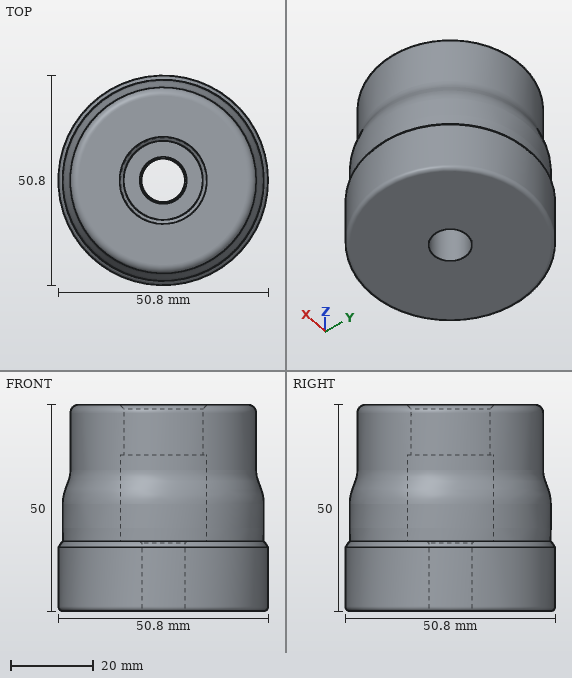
import cadquery as cq
import math

total_height = 50.0

base_radius = 25.4
base_height = 16.95
base_bottom_fillet = 1.1
bevel_start_height = 15.45
bevel_radius = 24.8
bevel_height = 16.4
hole_radius = 5.25
hole_chamfer = 0.45

cap_radius = 24.4
cap_foot_radius = 24.3
taper_top_height = 20.05
shoulder_start_height = 25.9
neck_radius = 22.5
shoulder_angle = math.radians(20)
shoulder_round = 10.15
neck_round = 7.6
top_fillet = 2.05

entry_radius = 9.6
entry_chamfer = 0.95
entry_depth = 3.6
land_radius = 9.55
land_depth = 12.1
relief_radius = 10.35


def revolve_about_z(profile):
    """Close a radius-height profile and turn it into a ring about Z."""
    return profile.close().revolve(360, (0, 0, 0), (0, 1, 0))


def make_base():
    profile = (
        cq.Workplane("XZ")
        .moveTo(hole_radius, 0)
        .lineTo(base_radius, 0)
        .lineTo(base_radius, bevel_start_height)
        .lineTo(bevel_radius, bevel_height)
        .lineTo(cap_foot_radius, base_height)
        .lineTo(hole_radius + hole_chamfer, base_height)
        .lineTo(hole_radius, base_height - hole_chamfer)
    )
    ring = revolve_about_z(profile)
    bottom_rim = cq.selectors.RadiusNthSelector(-1)
    return ring.faces("<Z").edges(bottom_rim).fillet(base_bottom_fillet)


def round_point(center, radius, angle):
    """Radius-height point on a round, at an angle above the outward direction."""
    return (
        center[0] + radius * math.cos(angle),
        center[1] + radius * math.sin(angle),
    )


def make_cap():
    lower_center = (cap_radius - shoulder_round, shoulder_start_height)
    cone_start = round_point(lower_center, shoulder_round, shoulder_angle)
    cone_end_radius = neck_radius + neck_round * (1 - math.cos(shoulder_angle))
    cone_rise = (cone_start[0] - cone_end_radius) / math.tan(shoulder_angle)
    cone_end = (cone_end_radius, cone_start[1] + cone_rise)
    neck_start_height = cone_end[1] + neck_round * math.sin(shoulder_angle)
    upper_center = (neck_radius + neck_round, neck_start_height)

    land_top = total_height - entry_depth
    land_bottom = total_height - land_depth

    profile = (
        cq.Workplane("XZ")
        .moveTo(relief_radius, base_height)
        .lineTo(cap_foot_radius, base_height)
        .lineTo(cap_radius, taper_top_height)
        .lineTo(cap_radius, shoulder_start_height)
        .threePointArc(round_point(lower_center, shoulder_round, shoulder_angle / 2), cone_start)
        .lineTo(*cone_end)
        .threePointArc(
            round_point(upper_center, -neck_round, shoulder_angle / 2),
            (neck_radius, neck_start_height),
        )
        .lineTo(neck_radius, total_height)
        .lineTo(entry_radius + entry_chamfer, total_height)
        .lineTo(entry_radius, total_height - entry_chamfer)
        .lineTo(land_radius, land_top)
        .lineTo(land_radius, land_bottom)
        .lineTo(relief_radius, land_bottom)
    )
    ring = revolve_about_z(profile)
    top_rim = cq.selectors.RadiusNthSelector(-1)
    return ring.faces(">Z").edges(top_rim).fillet(top_fillet)


base = make_base()
cap = make_cap()

result = cq.Compound.makeCompound([base.solids().val(), cap.solids().val()])